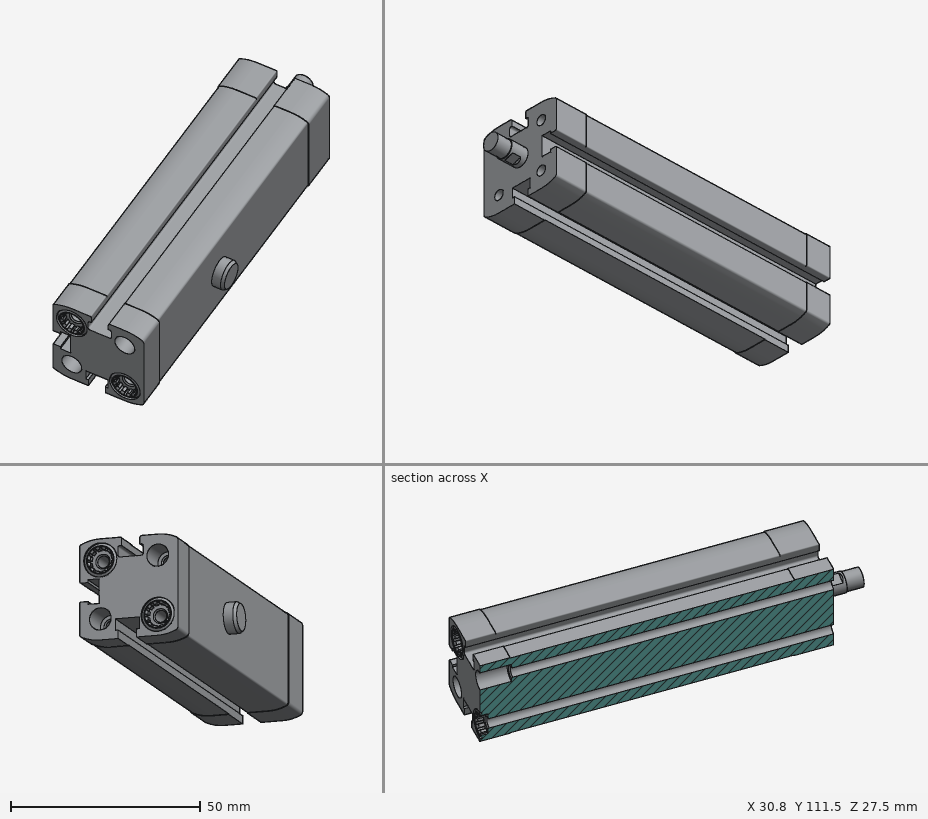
import cadquery as cq
import math


body_side = 27.5
half_side = body_side / 2
body_length = 100.7
front_cap_length = 8.6
rear_cap_length = 11.2
tube_inset = 0.17
tube_plug_side_inset = 0.3
flat_half_width = 8.1
shoulder_radius = 12.0
left_corner_radius = 0.7
cap_right_corner_radius = 1.2
tube_right_corner_radius = 0.7

groove_neck_width = 5.1
groove_width = 6.7
top_groove_width = 7.0
groove_floor = 8.4
groove_lip = 11.5
groove_offset = 0.5
groove_floor_radius = 0.6
lip_radius = 0.7
small_lip_radius = 0.3

hole_offset = 8.0
thread_bore_diameter = 3.2
thread_mouth_diameter = 4.0
thread_mouth_depth = 0.39
recess_diameter = 6.0
recess_depth = 8.9

head_diameter = 9.3
rim_outer_diameter = 7.7
rim_inner_diameter = 7.2
rim_outer_bevel_depth = 0.7
rim_inner_bevel_depth = 0.6
socket_depth = 2.2
notch_count = 12
notch_width = 0.7
notch_span = 7.0

rod_diameter = 6.0
rod_shoulder_length = 5.9
rod_tip_diameter = 5.6
rod_length = 111.5 - body_length
flat_across = 5.1
flat_start = 2.0
flat_length = 2.9
flat_turn = 18.5

plug_diameter = 8.5
plug_end = 17.0
plug_y = 41.6
plug_bevel_length = 0.9
plug_bevel_depth = 0.6


def prism(outline, start, length):
    """Extrude an outline drawn in X and Z along +Y from Y = start."""
    return outline.extrude(-length).translate((0, start, 0))


def cylinder_y(diameter, start, length):
    return prism(cq.Workplane("XZ").circle(diameter / 2), start, length)


def housing_section(start, length, inset, plug_side_inset, right_corner_radius):
    """Square bar whose top and bottom fall off in shallow arcs to the sides."""
    left = -half_side + inset
    right = half_side - plug_side_inset
    top = half_side - inset
    arc_centre = top - shoulder_radius

    def arc_height(x):
        run = abs(x) - flat_half_width
        return arc_centre + math.sqrt(shoulder_radius**2 - run**2)

    left_height = arc_height(left)
    right_height = arc_height(right)
    outline = (
        cq.Workplane("XZ")
        .moveTo(-flat_half_width, top)
        .lineTo(flat_half_width, top)
        .radiusArc((right, right_height), shoulder_radius)
        .lineTo(right, -right_height)
        .radiusArc((flat_half_width, -top), shoulder_radius)
        .lineTo(-flat_half_width, -top)
        .radiusArc((left, -left_height), shoulder_radius)
        .lineTo(left, left_height)
        .radiusArc((-flat_half_width, top), shoulder_radius)
        .close()
    )
    bar = prism(outline, start, length)
    bar = bar.edges("|Y and <X").fillet(left_corner_radius)
    bar = bar.edges("|Y and >X").fillet(right_corner_radius)
    return cut_grooves(bar, left, top)


def groove_cutter(offset, width, floor_radius):
    """T-groove open towards +Z, centred on X = offset."""
    chamber_height = groove_lip - groove_floor
    chamber = (
        cq.Workplane("XZ")
        .center(offset, groove_floor + chamber_height / 2)
        .rect(width, chamber_height)
    )
    chamber = prism(chamber, 0, body_length)
    if floor_radius:
        chamber = chamber.edges("|Y").fillet(floor_radius)
    neck = (
        cq.Workplane("XZ")
        .center(offset, groove_floor + half_side / 2)
        .rect(groove_neck_width, half_side)
    )
    return chamber.union(prism(neck, 0, body_length))


def round_lip(bar, x, z, radius):
    """Round the lengthwise edge that passes through (x, z)."""
    reach = 0.06
    near = cq.selectors.BoxSelector(
        (x - reach, 0, z - reach), (x + reach, body_length, z + reach))
    return bar.edges("|Y").edges(near).fillet(radius)


def cut_grooves(bar, left, top):
    """Grooves in the top, left and bottom faces, with rounded lips on the top and left ones."""
    start, end = (0, 0, 0), (0, 1, 0)
    bar = bar.cut(groove_cutter(groove_offset, top_groove_width, groove_floor_radius))
    bar = bar.cut(groove_cutter(-groove_offset, groove_width, 0).rotate(start, end, -90))
    bar = bar.cut(groove_cutter(groove_offset, groove_width, 0).rotate(start, end, 180))
    half_neck = groove_neck_width / 2
    bar = round_lip(bar, groove_offset + half_neck, top, lip_radius)
    bar = round_lip(bar, groove_offset - half_neck, top, small_lip_radius)
    for side in (-1, 1):
        bar = round_lip(bar, left, side * half_neck - groove_offset, small_lip_radius)
    return bar


def revolved(points):
    """Turn a profile of (radius, Y) points about the Y axis."""
    return cq.Workplane("XY").polyline(points).close().revolve(360, (0, 0, 0), (0, 1, 0))


def corner_hole(depth):
    """Recess of the given depth with a countersunk bore through its floor."""
    recess_radius = recess_diameter / 2
    bore_radius = thread_bore_diameter / 2
    return revolved([
        (0, 0),
        (recess_radius, 0),
        (recess_radius, depth),
        (thread_mouth_diameter / 2, depth),
        (bore_radius, depth + thread_mouth_depth),
        (bore_radius, body_length),
        (0, body_length),
    ])


def screw_socket():
    """Bevelled socket with radial notches down to its floor."""
    mouth = revolved([
        (0, 0),
        (rim_inner_diameter / 2, 0),
        (recess_diameter / 2, rim_inner_bevel_depth),
        (0, rim_inner_bevel_depth),
    ])
    socket = corner_hole(socket_depth).union(mouth)
    slot = prism(cq.Workplane("XZ").rect(notch_span, notch_width), 0, socket_depth)
    for i in range(notch_count // 2):
        socket = socket.union(slot.rotate((0, 0, 0), (0, 1, 0), 360 / notch_count * i))
    return socket


def screw_outer_bevel():
    """Ring that leaves the screw rim sloping away outside."""
    return revolved([
        (rim_outer_diameter / 2, 0),
        (head_diameter / 2, 0),
        (head_diameter / 2, rim_outer_bevel_depth),
    ])


def make_housing():
    tube_length = body_length - front_cap_length - rear_cap_length
    body = housing_section(0, front_cap_length, 0, 0, cap_right_corner_radius)
    tube = housing_section(
        front_cap_length, tube_length, tube_inset, tube_plug_side_inset, tube_right_corner_radius)
    body = body.union(tube)
    body = body.union(housing_section(
        body_length - rear_cap_length, rear_cap_length, 0, 0, cap_right_corner_radius))
    for side in (-1, 1):
        x = side * hole_offset
        body = body.cut(corner_hole(recess_depth).translate((x, 0, x)))
        body = body.cut(screw_socket().translate((x, 0, -x)))
        body = body.cut(screw_outer_bevel().translate((x, 0, -x)))
    return body


def make_rod():
    shoulder = cylinder_y(rod_diameter, body_length, rod_shoulder_length)
    tip_start = body_length + rod_shoulder_length
    rod = shoulder.union(cylinder_y(rod_tip_diameter, tip_start, rod_length - rod_shoulder_length))
    slope_height = rod_diameter - flat_across
    slope_run = slope_height
    start = body_length + flat_start
    cutter = (
        cq.Workplane("YZ")
        .moveTo(start, flat_across / 2)
        .lineTo(start + flat_length, flat_across / 2)
        .lineTo(start + flat_length + slope_run, flat_across / 2 + slope_height)
        .lineTo(start - slope_run, flat_across / 2 + slope_height)
        .close()
        .extrude(rod_diameter / 2, both=True)
    )
    for turn in (flat_turn, flat_turn + 180):
        rod = rod.cut(cutter.rotate((0, 0, 0), (0, 1, 0), turn))
    return rod


def make_plug():
    seat = half_side - tube_plug_side_inset
    plug = (
        cq.Workplane("YZ", origin=(seat, plug_y, 0))
        .circle(plug_diameter / 2)
        .extrude(plug_end - seat)
    )
    return plug.faces(">X").chamfer(plug_bevel_length, plug_bevel_depth)


housing = make_housing()
rod = make_rod()
plug = make_plug()

result = cq.Compound.makeCompound([housing.val(), rod.val(), plug.val()])